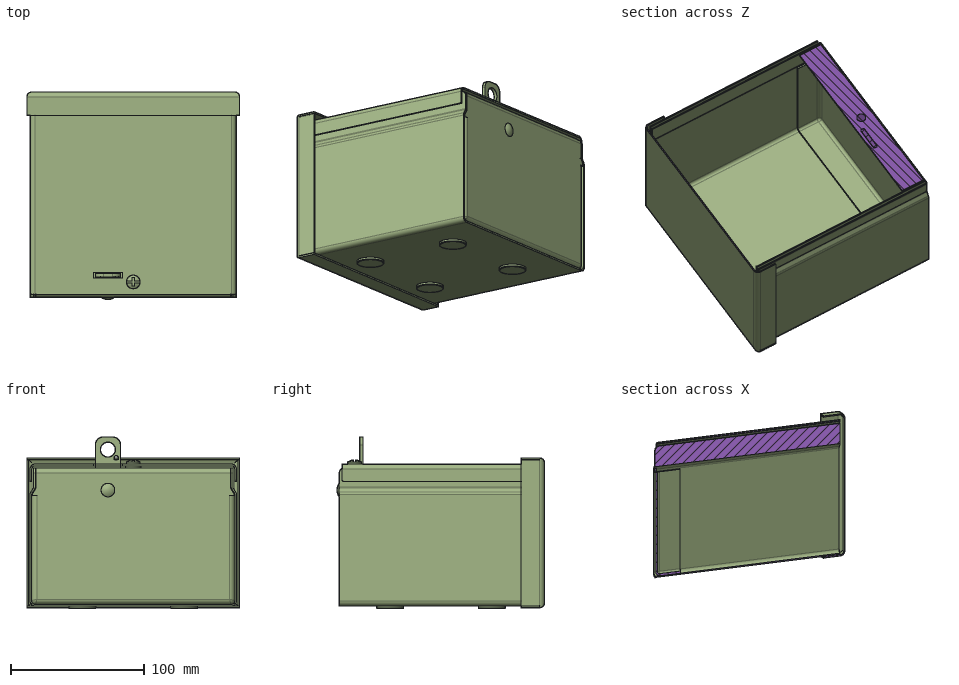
import cadquery as cq
import math

SHEET = 1.3
BEND = 3.8
INNER_BEND = BEND - SHEET

TUB_HALF_WIDTH = 77.6
TUB_TOP = 103.8
JOGGLE_SHIFT = 2.7
JOGGLE_LOW = 84.8
JOGGLE_HIGH = 89.1
JOGGLE_INNER_BEND = 1.3
TUB_LENGTH = 150.4
UPPER_HALF_WIDTH = TUB_HALF_WIDTH - JOGGLE_SHIFT

KNOCKOUT_DIAMETER = 20.3
KNOCKOUT_DEPTH = 1.9
KNOCKOUT_CHAMFER = 0.5
KNOCKOUT_PITCH = 76.5
KNOCKOUT_MIDDLE_Y = 76.5

COVER_TOP = 106.7
COVER_BOTTOM = 93.7
COVER_FRONT = 2.2
COVER_CORNER = 1.0
COVER_UNDERSIDE = COVER_TOP - SHEET

CAP_WIDTH = 160.0
CAP_BOTTOM = -SHEET
CAP_TOP = 111.3
CAP_FRONT = 136.8
CAP_BACK = 154.4
CAP_SEAM = 0.2

PANEL_FLANGE = 20.8
PANEL_HALF_WIDTH = TUB_HALF_WIDTH - SHEET
PANEL_GAP = 0.5
PANEL_SIDE_TOP = 83.0

TAB_X = -19.0
TAB_MIDDLE_Y = 16.6
TAB_WIDTH = 19.0
TAB_THICKNESS = 2.5
TAB_TOP = 127.2
TAB_CORNER = 6.0
LOCK_HOLE_DIAMETER = 11.0
LOCK_HOLE_Z = 117.6
SEAL_HOLE_DIAMETER = 3.2
SEAL_HOLE_OFFSET = 6.2
SEAL_HOLE_Z = 111.3
SLOT_LENGTH = 21.6
SLOT_WIDTH = 4.2

SCREW_Y = 11.5
HEAD_DIAMETER = 10.2
HEAD_RIM = 1.6
HEAD_HEIGHT = 3.2
SHANK_DIAMETER = 6.2
SHANK_END = 96.0
DRIVE_WIDTH = 1.6
DRIVE_DEPTH = 1.6
CROSS_LENGTH = 6.4
WASHER_DIAMETER = 11.5

RIVET_Z = 87.2
RIVET_DIAMETER = 10.2
RIVET_HEIGHT = 1.8
RIVET_SHANK_DIAMETER = 5.0


def centred_box(width, y_range, z_range, x=0.0):
    """Box centred on x, between the two Y and the two Z limits."""
    (y0, y1), (z0, z1) = y_range, z_range
    box = cq.Workplane("XY").box(width, y1 - y0, z1 - z0, centered=(True, False, False))
    return box.translate((x, y0, z0))


def vertical_cylinder(diameter, x, y, z_range):
    z0, z1 = z_range
    return cq.Workplane("XY", origin=(x, y, z0)).circle(diameter / 2).extrude(z1 - z0)


def channel_outline(inset, top):
    """Closed joggled outline of the tub, moved inward by the inset, in XZ."""
    low_x = TUB_HALF_WIDTH - inset
    high_x = UPPER_HALF_WIDTH - inset
    slope_angle = math.atan2(JOGGLE_SHIFT, JOGGLE_HIGH - JOGGLE_LOW)
    drop = inset * math.tan(slope_angle / 2)
    right = [
        (low_x, inset),
        (low_x, JOGGLE_LOW - drop),
        (high_x, JOGGLE_HIGH - drop),
        (high_x, top),
    ]
    return right + [(-x, z) for x, z in reversed(right)]


def fillet_lengthwise(solid, z_low, z_high, radius):
    """Fillet the edges along Y that lie between two heights."""
    reach = 2 * TUB_LENGTH
    band = cq.selectors.BoxSelector((-reach, -reach, z_low), (reach, reach, z_high))
    return solid.edges("|Y").edges(band).fillet(radius)


def channel_solid(inset, top):
    solid = cq.Workplane("XZ").polyline(channel_outline(inset, top)).close().extrude(-TUB_LENGTH)
    middle = (JOGGLE_LOW + JOGGLE_HIGH) / 2
    solid = fillet_lengthwise(solid, JOGGLE_LOW - SHEET, middle, BEND - inset)
    solid = fillet_lengthwise(solid, middle, JOGGLE_HIGH + SHEET, JOGGLE_INNER_BEND + inset)
    return solid.edges("|Y and <Z").fillet(BEND - inset)


def make_tub():
    tub = channel_solid(0, TUB_TOP).cut(channel_solid(SHEET, TUB_TOP))
    tub = tub.edges("|X and >Z and <Y").fillet(BEND)
    half_pitch = KNOCKOUT_PITCH / 2
    for x in (-half_pitch, half_pitch):
        for y in (KNOCKOUT_MIDDLE_Y - half_pitch, KNOCKOUT_MIDDLE_Y + half_pitch):
            knockout = vertical_cylinder(KNOCKOUT_DIAMETER, x, y, (-KNOCKOUT_DEPTH, SHEET))
            tub = tub.union(knockout.faces("<Z").chamfer(KNOCKOUT_CHAMFER))
    return tub


def upright_block(length, width, z_range):
    """Block centred on the hasp tab, used for the tab and for the slots around it."""
    y_range = (TAB_MIDDLE_Y - width / 2, TAB_MIDDLE_Y + width / 2)
    return centred_box(length, y_range, z_range, TAB_X)


def make_cover():
    y_range = (COVER_FRONT, TUB_LENGTH)
    outer = centred_box(2 * TUB_HALF_WIDTH, y_range, (COVER_BOTTOM, COVER_TOP))
    outer = outer.edges("|Y and >Z").fillet(BEND)
    inner = centred_box(2 * (TUB_HALF_WIDTH - SHEET), y_range, (COVER_BOTTOM, COVER_UNDERSIDE))
    inner = inner.edges("|Y and >Z").fillet(INNER_BEND)
    cover = outer.cut(inner).edges("|X and <Z and <Y").fillet(COVER_CORNER)
    cover = cover.cut(upright_block(SLOT_LENGTH, SLOT_WIDTH, (COVER_BOTTOM, COVER_TOP)))
    return cover.cut(vertical_cylinder(SHANK_DIAMETER, 0, SCREW_Y, (COVER_BOTTOM, COVER_TOP)))


def make_cap():
    outer = centred_box(CAP_WIDTH, (CAP_FRONT, CAP_BACK), (CAP_BOTTOM, CAP_TOP))
    outer = outer.faces(">Y").edges().fillet(BEND)
    inner = centred_box(
        CAP_WIDTH - 2 * SHEET, (CAP_FRONT, CAP_BACK - SHEET), (CAP_BOTTOM + SHEET, CAP_TOP - SHEET)
    )
    cap = outer.cut(inner.faces(">Y").edges().fillet(INNER_BEND))
    for z in (CAP_BOTTOM + SHEET, CAP_TOP - SHEET - CAP_SEAM):
        cap = cap.cut(centred_box(CAP_WIDTH, (CAP_FRONT, CAP_BACK - BEND), (z, z + CAP_SEAM)))
    return cap


def panel_lower_block(inset):
    """Lower part of the pan, rounded in front along the bottom and both sides."""
    block = centred_box(
        2 * (PANEL_HALF_WIDTH - inset), (inset, PANEL_FLANGE), (SHEET + inset, PANEL_SIDE_TOP)
    )
    block = block.edges("|Y and <Z").fillet(INNER_BEND - inset / 2)
    return block.faces("<Y").edges("not >Z").fillet(BEND - inset)


def panel_upper_block(inset):
    """Upper part of the pan, rounded in front along the top."""
    block = centred_box(
        2 * (UPPER_HALF_WIDTH - SHEET - PANEL_GAP), (inset, PANEL_FLANGE), (PANEL_SIDE_TOP, TUB_TOP - inset)
    )
    return block.edges("|X and >Z and <Y").fillet(BEND - inset)


def panel_shoulders():
    """Flat strip of the front plate that follows the joggles above the side flanges."""
    outline = channel_outline(SHEET + PANEL_GAP, TUB_TOP)
    plate = cq.Workplane("XZ").polyline(outline).close().extrude(-SHEET)
    return plate.intersect(
        centred_box(2 * TUB_HALF_WIDTH, (0, SHEET), (PANEL_SIDE_TOP, JOGGLE_HIGH))
    )


def make_front_panel():
    lower = panel_lower_block(0).cut(panel_lower_block(SHEET))
    upper = panel_upper_block(0).cut(panel_upper_block(SHEET))
    panel = lower.union(upper).union(panel_shoulders())
    flange_range = (TUB_TOP - SHEET, TUB_TOP)
    panel = panel.cut(upright_block(TAB_WIDTH, TAB_THICKNESS, flange_range))
    panel = panel.cut(vertical_cylinder(SHANK_DIAMETER, 0, SCREW_Y, flange_range))
    return panel.cut(rivet_shank())


def make_hasp_tab():
    """Upright plate standing in the panel flange and passing through the cover slot."""
    tab = upright_block(TAB_WIDTH, TAB_THICKNESS, (TUB_TOP - SHEET, TAB_TOP))
    tab = tab.edges("|Y and >Z").fillet(TAB_CORNER)
    for diameter, x, z in (
        (LOCK_HOLE_DIAMETER, TAB_X, LOCK_HOLE_Z),
        (SEAL_HOLE_DIAMETER, TAB_X + SEAL_HOLE_OFFSET, SEAL_HOLE_Z),
    ):
        hole = cq.Workplane("XZ", origin=(x, TAB_MIDDLE_Y - TAB_THICKNESS, z))
        tab = tab.cut(hole.circle(diameter / 2).extrude(-2 * TAB_THICKNESS))
    return tab


def domed_head(diameter, rim, height):
    """Head revolved about Z: a straight rim from Z = 0 and a spherical crown."""
    radius = diameter / 2
    crown = height - rim
    sphere_radius = (radius**2 + crown**2) / (2 * crown)
    half_way = radius / 2
    half_way_z = height - sphere_radius + math.sqrt(sphere_radius**2 - half_way**2)
    outline = cq.Workplane("XZ").lineTo(radius, 0)
    if rim > 0:
        outline = outline.lineTo(radius, rim)
    return outline.threePointArc((half_way, half_way_z), (0, height)).close().revolve()


def make_screw():
    """Round-head screw with a full-width slot crossed by a shorter recess."""
    head = domed_head(HEAD_DIAMETER, HEAD_RIM, HEAD_HEIGHT)
    floor = HEAD_HEIGHT - DRIVE_DEPTH
    for length_x, length_y in ((HEAD_DIAMETER, DRIVE_WIDTH), (DRIVE_WIDTH, CROSS_LENGTH)):
        head = head.cut(centred_box(length_x, (-length_y / 2, length_y / 2), (floor, HEAD_HEIGHT)))
    head = head.translate((0, SCREW_Y, COVER_TOP))
    return head.union(vertical_cylinder(SHANK_DIAMETER, 0, SCREW_Y, (SHANK_END, COVER_TOP)))


def make_washer():
    """Retaining washer filling the gap between the cover and the panel flange."""
    z_range = (TUB_TOP, COVER_UNDERSIDE)
    washer = vertical_cylinder(WASHER_DIAMETER, 0, SCREW_Y, z_range)
    return washer.cut(vertical_cylinder(SHANK_DIAMETER, 0, SCREW_Y, z_range))


def rivet_shank():
    return cq.Workplane("XZ", origin=(TAB_X, 0, RIVET_Z)).circle(RIVET_SHANK_DIAMETER / 2).extrude(-SHEET)


def make_rivet():
    dome = domed_head(RIVET_DIAMETER, 0, RIVET_HEIGHT).rotate((0, 0, 0), (1, 0, 0), 90)
    return dome.translate((TAB_X, 0, RIVET_Z)).union(rivet_shank())


tub = make_tub()
cover = make_cover()
cap = make_cap()
front_panel = make_front_panel()
hasp_tab = make_hasp_tab()
screw = make_screw()
washer = make_washer()
rivet = make_rivet()

bodies = [tub, cover, cap, front_panel, hasp_tab, screw, washer, rivet]
result = cq.Compound.makeCompound([body.val() for body in bodies])